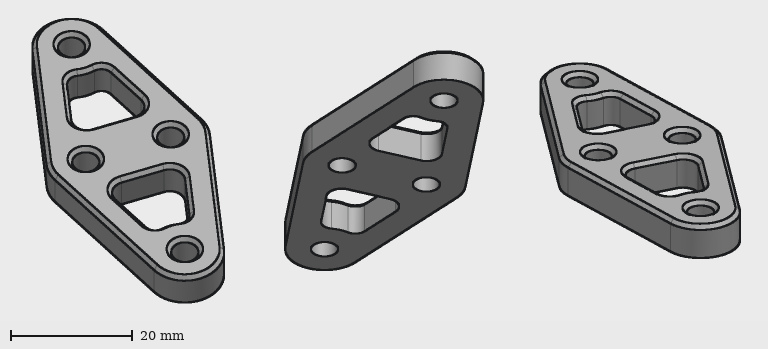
import cadquery as cq
import math

length = 62.95
width = 28.0
thickness = 6.0
corner_radius = 6.5
hole_diameter = 4.5
chamfer = 0.75
wall = 5.0
hub_half_width = 6.5
window_corner_radius = 2.5
window_tip_radius = 2.0

end_hole_x = length / 2 - corner_radius
side_hole_y = width / 2 - corner_radius
slope = math.atan2(side_hole_y, end_hole_x)
hole_centers = [(end_hole_x, 0), (0, side_hole_y), (-end_hole_x, 0), (0, -side_hole_y)]


def make_plate():
    """Diamond plate whose corners are round about the hole centres."""
    outline = cq.Workplane("XY").polyline(hole_centers).close().offset2D(corner_radius, "arc")
    return outline.extrude(thickness)


def make_window():
    """Cutter for the +X window with a hollow around the end hole."""
    end_y = (corner_radius - wall) / math.cos(slope)
    hub_y = end_y + (end_hole_x - hub_half_width) * math.tan(slope)
    profile = [
        (hub_half_width, -hub_y),
        (end_hole_x, -end_y),
        (end_hole_x, end_y),
        (hub_half_width, hub_y),
    ]
    end_boss = cq.Workplane("XY").center(end_hole_x, 0).circle(corner_radius).extrude(thickness)
    window = cq.Workplane("XY").polyline(profile).close().extrude(thickness).cut(end_boss)
    window = window.edges("|Z and <X").fillet(window_corner_radius)
    window = window.edges("|Z and >X").fillet(window_tip_radius)
    return window


def cut_windows(plate):
    """Two mirrored through windows."""
    window = make_window()
    return plate.cut(window).cut(window.mirror("YZ"))


def cut_holes(plate):
    """Four through holes at the corner centres."""
    holes = cq.Workplane("XY").pushPoints(hole_centers).circle(hole_diameter / 2).extrude(thickness)
    return plate.cut(holes)


plate = cut_holes(cut_windows(make_plate()))

result = plate.faces(">Z").edges().chamfer(chamfer)